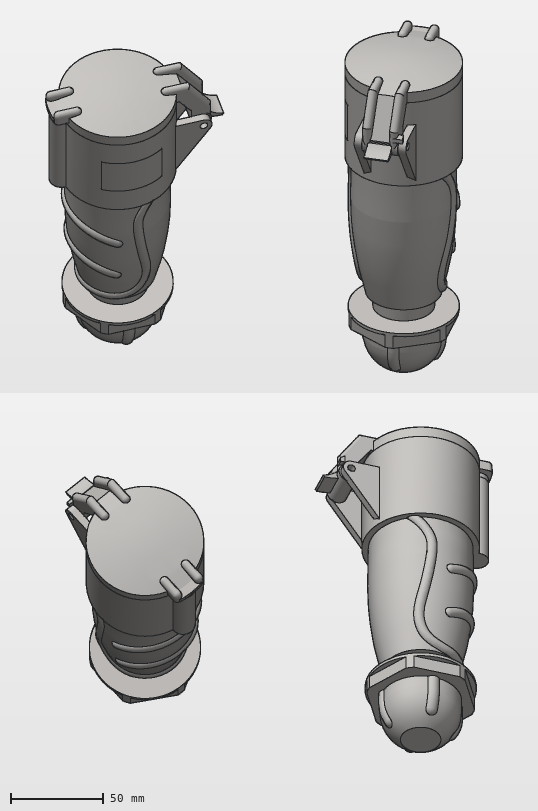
import cadquery as cq
import math

NUT_DOME_Z = 19.4
HEX_BOTTOM_Z = 26.5
FLANGE_BOTTOM_Z = 34.3
FLANGE_TOP_Z = 36.3
GRIP_BOTTOM_Z = 45.8
GRIP_WIDEST_Z = 105.9
GRIP_TOP_Z = 131.1
LID_BOTTOM_Z = 183.9
TOP_Z = 194.0

FLANGE_RADIUS = 30.3
HEX_ACROSS_FLATS = 54.5
DOME_RADIUS = 22.3
DOME_RIB_OUTER_RADIUS = 23.9
DOME_RIB_ROUND = 3.9
DOME_RIB_END_ANGLE = 33.0
DOME_RIB_COUNT = 4

NECK_RADIUS = 16.9
GRIP_TOP_RADIUS = 28.5
GRIP_MAX_RADIUS = 28.9
GRIP_CURVE_RADIUS = 230.8

BEAD_RADIUS = 3.1
BEAD_INSET = 1.45
BAND_FRONT_HEIGHTS = (108.2, 80.3)
BAND_END_Y = -7.8
BAND_DROP = 8.7
WAVE_FRONT_Z = 49.3

HOUSING_RADIUS = 32.0
FRONT_RIB_RADIUS = 6.8
FRONT_RIB_Y = -31.8
LABEL_HALF_WIDTH = 17.0
LABEL_BOTTOM_Z = 146.2
LABEL_HEIGHT = 22.5
LABEL_THICKNESS = 1.0

PIVOT_Y = 44.6
PIVOT_Z = 165.0
PIVOT_HOLE_RADIUS = 2.1
EAR_ROUND = 4.7
EAR_TOP_Z = PIVOT_Z + EAR_ROUND
EAR_INNER_X = 10.0
EAR_THICKNESS = 4.5
EAR_EDGE_ANGLE = 54.8
EAR_ROOT_Y = 27.2

LID_DOME_RADIUS = 145.5
FINGER_X = 7.5
FINGER_WIDTH = 2 * (EAR_INNER_X - FINGER_X)
FINGER_ROUND = 2.42
TAB_BOTTOM_Z = 186.8
TAB_TOP_Z = 189.9
TAB_RADIUS = 39.2
TAB_HALF_WIDTH = 8.0
FRONT_FINGER_START_Y = -38.2
FRONT_FINGER_END_Y = -22.7
REAR_FINGER_END_Y = 22.5
ARM_ROUND = 5.6
ARM_INNER_Y = PIVOT_Y - ARM_ROUND
ARM_REAR_Y = PIVOT_Y + ARM_ROUND
ARM_BEND_Y = 38.2
ARM_KNEE_Z = 176.1
ARM_INNER_KNEE_Z = 174.0
WEB_REAR_Y = 49.5
WEB_KNEE_Z = 168.7

THUMB_HALF_WIDTH = 6.8
THUMB_UPPER_ROOT = (48.5, 168.7)
THUMB_UPPER_MIDDLE = (53.1, 164.7)
THUMB_UPPER_TIP = (58.2, 162.7)
THUMB_LOWER_TIP = (57.5, 161.5)
THUMB_LOWER_MIDDLE = (53.3, 161.8)
THUMB_LOWER_ROOT = (48.5, 162.7)

LUG_OUTER_X = -12.8
LUG_FRONT_Y = 48.0
LUG_BOTTOM_Z = EAR_TOP_Z
LUG_FRONT_TOP_Z = 174.0
LUG_REAR_TOP_Z = 172.2


def cylinder(radius, bottom, top, x=0.0, y=0.0):
    return cq.Workplane("XY", origin=(x, y, bottom)).circle(radius).extrude(top - bottom)


def box(x_min, x_max, y_min, y_max, z_min, z_max):
    size = (x_max - x_min, y_max - y_min, z_max - z_min)
    return cq.Workplane("XY").box(*size, centered=False).translate((x_min, y_min, z_min))


def ball(radius, centre):
    return cq.Workplane("XY").sphere(radius).translate(centre)


def side_plate(points, x_min, x_max):
    """Plate cut to an outline of (y, z) points, spanning x_min to x_max."""
    return cq.Workplane("YZ", origin=(x_min, 0, 0)).polyline(points).close().extrude(x_max - x_min)


def pivot_disc(radius, x_min, x_max):
    centre = (x_min, PIVOT_Y, PIVOT_Z)
    return cq.Workplane("YZ", origin=centre).circle(radius).extrude(x_max - x_min)


def path_plane(path, position):
    """Plane across the path at a position from 0 (start) to 1 (end)."""
    return cq.Plane(path.positionAt(position).toTuple(), normal=path.tangentAt(position).toTuple())


def swept_rod(path, radius):
    profile = cq.Workplane(path_plane(path, 0)).circle(radius)
    return profile.sweep(cq.Workplane(obj=path))


def rod_end(path, position, radius):
    """Ball that rounds off a rod at its start (0) or end (1)."""
    return cq.Workplane(path_plane(path, position)).sphere(radius)


def grip_radius(z):
    """Radius of the grip: a cone above the widest level, a long arc below it."""
    if z > GRIP_WIDEST_Z:
        slope = (GRIP_TOP_RADIUS - GRIP_MAX_RADIUS) / (GRIP_TOP_Z - GRIP_WIDEST_Z)
        return GRIP_MAX_RADIUS + slope * (z - GRIP_WIDEST_Z)
    drop = GRIP_WIDEST_Z - z
    return GRIP_MAX_RADIUS - GRIP_CURVE_RADIUS + math.sqrt(GRIP_CURVE_RADIUS**2 - drop**2)


def bead_point(side, y, z):
    """Centre of a bead on the side (-1 or +1) of the grip at the given y and z."""
    return (side * math.sqrt((grip_radius(z) - BEAD_INSET) ** 2 - y**2), y, z)


def bead_front_point(z):
    return (0.0, BEAD_INSET - grip_radius(z), z)


def make_band(front_z):
    """Tilted bead around the front of the grip with ball ends."""
    left, right = (bead_point(side, BAND_END_Y, front_z - BAND_DROP) for side in (-1, 1))
    path = cq.Edge.makeThreePointArc(
        cq.Vector(*left), cq.Vector(*bead_front_point(front_z)), cq.Vector(*right)
    )
    band = swept_rod(path, BEAD_RADIUS)
    for position in (0, 1):
        band = band.union(rod_end(path, position, BEAD_RADIUS))
    return band


def make_wave():
    """Bead that winds down both sides and joins level across the front."""
    side_course = (
        (15.5, 134.8),
        (10.3, 129.2),
        (3.3, 115.5),
        (3.3, 106.3),
        (7.0, 81.8),
        (8.7, 69.2),
        (7.5, 60.9),
        (3.3, 53.7),
        (-4.5, 49.8),
        (-12.6, WAVE_FRONT_Z),
    )
    left = [bead_point(-1, y, z) for y, z in side_course]
    right = [bead_point(1, y, z) for y, z in reversed(side_course)]
    points = left + [bead_front_point(WAVE_FRONT_Z)] + right
    path = cq.Edge.makeSpline([cq.Vector(*point) for point in points])
    return swept_rod(path, BEAD_RADIUS).intersect(cylinder(2 * GRIP_MAX_RADIUS, 0, GRIP_TOP_Z))


def make_grip():
    middle_z = (GRIP_BOTTOM_Z + GRIP_WIDEST_Z) / 2
    return (
        cq.Workplane("XZ")
        .moveTo(0, FLANGE_TOP_Z)
        .lineTo(NECK_RADIUS, FLANGE_TOP_Z)
        .lineTo(NECK_RADIUS, GRIP_BOTTOM_Z)
        .lineTo(grip_radius(GRIP_BOTTOM_Z), GRIP_BOTTOM_Z)
        .threePointArc((grip_radius(middle_z), middle_z), (GRIP_MAX_RADIUS, GRIP_WIDEST_Z))
        .lineTo(GRIP_TOP_RADIUS, GRIP_TOP_Z)
        .lineTo(0, GRIP_TOP_Z)
        .close()
        .revolve(360, (0, 0, 0), (0, 1, 0))
    )


def make_dome():
    """Cylinder under the hexagon that ends in a ball cut flat at the tip."""
    dome = cylinder(DOME_RADIUS, NUT_DOME_Z, HEX_BOTTOM_Z).union(ball(DOME_RADIUS, (0, 0, NUT_DOME_Z)))
    return dome.intersect(cylinder(DOME_RADIUS, 0, HEX_BOTTOM_Z))


def make_dome_rib():
    """Round rib down the +X side of the dome that follows its ball and ends in a ball."""
    course_radius = DOME_RIB_OUTER_RADIUS - DOME_RIB_ROUND

    def course_point(angle):
        angle = math.radians(angle)
        return cq.Vector(course_radius * math.cos(angle), 0, NUT_DOME_Z - course_radius * math.sin(angle))

    arc = cq.Edge.makeThreePointArc(
        course_point(0), course_point(DOME_RIB_END_ANGLE / 2), course_point(DOME_RIB_END_ANGLE)
    )
    upright = cylinder(DOME_RIB_ROUND, NUT_DOME_Z, HEX_BOTTOM_Z, x=course_radius)
    curved = swept_rod(arc, DOME_RIB_ROUND).union(rod_end(arc, 1, DOME_RIB_ROUND))
    return upright.union(curved)


def make_nut():
    flange = cylinder(FLANGE_RADIUS, FLANGE_BOTTOM_Z, FLANGE_TOP_Z)
    hexagon = (
        cq.Workplane("XY", origin=(0, 0, HEX_BOTTOM_Z))
        .polygon(6, HEX_ACROSS_FLATS, circumscribed=True)
        .extrude(FLANGE_BOTTOM_Z - HEX_BOTTOM_Z)
        .intersect(cylinder(FLANGE_RADIUS, HEX_BOTTOM_Z, FLANGE_BOTTOM_Z))
    )
    nut = flange.union(hexagon).union(make_dome())
    rib = make_dome_rib()
    for index in range(DOME_RIB_COUNT):
        nut = nut.union(rib.rotate((0, 0, 0), (0, 0, 1), index * 360 / DOME_RIB_COUNT))
    return nut


def make_ear(x_min):
    """Hinge ear: rounded about the pivot, with a slanted lower edge."""
    angle = math.radians(EAR_EDGE_ANGLE)
    tangent_y = PIVOT_Y + EAR_ROUND * math.sin(angle)
    tangent_z = PIVOT_Z - EAR_ROUND * math.cos(angle)
    root_bottom_z = tangent_z - (tangent_y - EAR_ROOT_Y) * math.tan(angle)
    outline = [
        (EAR_ROOT_Y, EAR_TOP_Z),
        (PIVOT_Y, EAR_TOP_Z),
        (PIVOT_Y, PIVOT_Z),
        (tangent_y, tangent_z),
        (EAR_ROOT_Y, root_bottom_z),
    ]
    x_max = x_min + EAR_THICKNESS
    return side_plate(outline, x_min, x_max).union(pivot_disc(EAR_ROUND, x_min, x_max))


def make_pivot_hole():
    reach = EAR_INNER_X + EAR_THICKNESS
    return pivot_disc(PIVOT_HOLE_RADIUS, -reach, reach)


def make_housing():
    housing = cylinder(HOUSING_RADIUS, GRIP_TOP_Z, LID_BOTTOM_Z)
    housing = housing.union(cylinder(FRONT_RIB_RADIUS, GRIP_TOP_Z, LID_BOTTOM_Z, y=FRONT_RIB_Y))
    for x_min in (EAR_INNER_X, -EAR_INNER_X - EAR_THICKNESS):
        housing = housing.union(make_ear(x_min))
    return housing.cut(make_pivot_hole())


def make_label():
    """Curved plate set flush into the +X side of the housing."""
    label_top_z = LABEL_BOTTOM_Z + LABEL_HEIGHT
    shell = cylinder(HOUSING_RADIUS, LABEL_BOTTOM_Z, label_top_z)
    shell = shell.cut(cylinder(HOUSING_RADIUS - LABEL_THICKNESS, LABEL_BOTTOM_Z, label_top_z))
    window = box(0, HOUSING_RADIUS, -LABEL_HALF_WIDTH, LABEL_HALF_WIDTH, LABEL_BOTTOM_Z, label_top_z)
    return shell.intersect(window)


def make_lid_disc():
    """Domed disc with the rear web and the front block, all under one domed surface."""
    disc = cylinder(HOUSING_RADIUS, LID_BOTTOM_Z, TOP_Z)
    front_y = -math.sqrt(LID_DOME_RADIUS**2 - (LID_DOME_RADIUS - TOP_Z + TAB_TOP_Z) ** 2)
    front_block = box(-FINGER_X, FINGER_X, front_y, 0, TAB_BOTTOM_Z, TOP_Z)
    web = side_plate(
        [
            (REAR_FINGER_END_Y, LID_BOTTOM_Z),
            (REAR_FINGER_END_Y, TOP_Z),
            (HOUSING_RADIUS, TOP_Z),
            (WEB_REAR_Y, WEB_KNEE_Z),
            (WEB_REAR_Y, PIVOT_Z),
            (ARM_INNER_Y, PIVOT_Z),
            (ARM_INNER_Y, ARM_INNER_KNEE_Z),
            (HOUSING_RADIUS, LID_BOTTOM_Z),
        ],
        -FINGER_X,
        FINGER_X,
    )
    dome = ball(LID_DOME_RADIUS, (0, 0, TOP_Z - LID_DOME_RADIUS))
    return disc.union(front_block).union(web).intersect(dome)


def make_front_tab():
    slab = box(-TAB_HALF_WIDTH, TAB_HALF_WIDTH, -TAB_RADIUS, 0, TAB_BOTTOM_Z, TAB_TOP_Z)
    tab = slab.intersect(cylinder(TAB_RADIUS, TAB_BOTTOM_Z, TAB_TOP_Z))
    return tab.union(cylinder(FRONT_RIB_RADIUS, LID_BOTTOM_Z, TAB_BOTTOM_Z, y=FRONT_RIB_Y))


def make_front_finger(x):
    """Upright wall with rounded ends and a rounded top."""
    length = FRONT_FINGER_END_Y - FRONT_FINGER_START_Y
    return (
        cq.Workplane("XY", origin=(x, FRONT_FINGER_START_Y + length / 2, TAB_BOTTOM_Z))
        .slot2D(length, FINGER_WIDTH, 90)
        .extrude(TOP_Z - TAB_BOTTOM_Z)
        .faces(">Z")
        .edges()
        .fillet(FINGER_ROUND)
    )


def make_arm(x):
    """Bent hinge arm with a rounded outer edge and an eye around the pivot."""
    outer_edge = [
        (REAR_FINGER_END_Y, TOP_Z),
        (ARM_BEND_Y, TOP_Z),
        (ARM_REAR_Y, ARM_KNEE_Z),
        (ARM_REAR_Y, PIVOT_Z),
    ]
    inner_edge = [
        (ARM_INNER_Y, PIVOT_Z),
        (ARM_INNER_Y, ARM_INNER_KNEE_Z),
        (HOUSING_RADIUS, LID_BOTTOM_Z),
        (REAR_FINGER_END_Y, LID_BOTTOM_Z),
    ]
    left, right = x - FINGER_WIDTH / 2, x + FINGER_WIDTH / 2
    arm = side_plate(outer_edge + inner_edge, left, right)
    arm = arm.edges("|Z and <Y").fillet(FINGER_ROUND)
    rounded = []
    for (y1, z1), (y2, z2) in zip(outer_edge, outer_edge[1:]):
        for edge_x in (left, right):
            middle = (edge_x, (y1 + y2) / 2, (z1 + z2) / 2)
            rounded.append(arm.edges(cq.selectors.NearestToPointSelector(middle)).val())
    arm = arm.newObject(rounded).fillet(FINGER_ROUND)
    return arm.union(pivot_disc(ARM_ROUND, left, right))


def make_thumb_piece():
    """Curved lever that tapers to a thin tip behind the hinge."""
    return (
        cq.Workplane("YZ", origin=(-THUMB_HALF_WIDTH, 0, 0))
        .moveTo(*THUMB_UPPER_ROOT)
        .threePointArc(THUMB_UPPER_MIDDLE, THUMB_UPPER_TIP)
        .lineTo(*THUMB_LOWER_TIP)
        .threePointArc(THUMB_LOWER_MIDDLE, THUMB_LOWER_ROOT)
        .close()
        .extrude(2 * THUMB_HALF_WIDTH)
    )


def make_stop_lug():
    """Small stop beside the -X arm, above the ear."""
    outline = [
        (LUG_FRONT_Y, LUG_BOTTOM_Z),
        (LUG_FRONT_Y, LUG_FRONT_TOP_Z),
        (ARM_REAR_Y, LUG_REAR_TOP_Z),
        (ARM_REAR_Y, LUG_BOTTOM_Z),
    ]
    return side_plate(outline, LUG_OUTER_X, -FINGER_X)


def make_lid():
    lid = make_lid_disc().union(make_front_tab())
    for x in (-FINGER_X, FINGER_X):
        lid = lid.union(make_front_finger(x)).union(make_arm(x))
    lid = lid.union(pivot_disc(ARM_ROUND, -FINGER_X, FINGER_X))
    lid = lid.union(make_thumb_piece()).union(make_stop_lug())
    return lid.cut(make_pivot_hole())


grip = make_grip()
bands = [make_band(front_z).cut(grip) for front_z in BAND_FRONT_HEIGHTS]
wave = make_wave().cut(grip)
label = make_label()
housing = make_housing().cut(label)
lid = make_lid()
nut = make_nut()

result = cq.Compound.makeCompound(
    [
        housing.val(),
        label.val(),
        lid.val(),
        grip.val(),
        *[band.val() for band in bands],
        wave.val(),
        nut.val(),
    ]
)